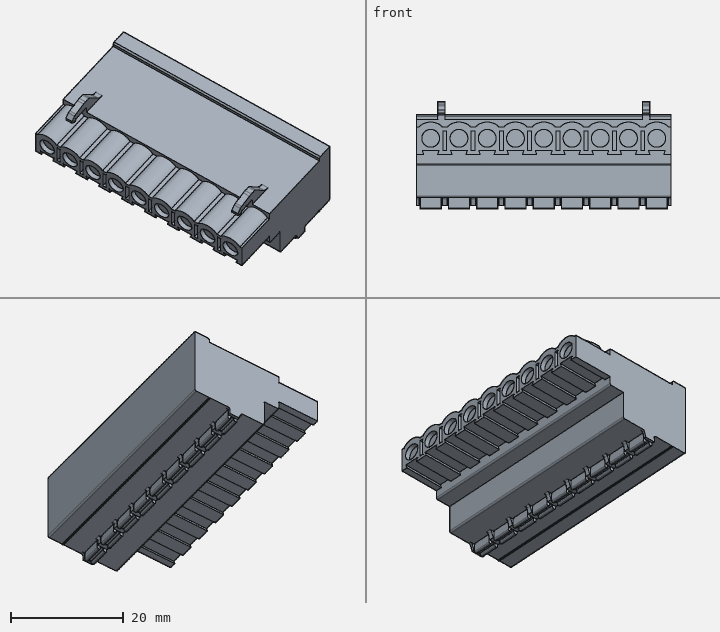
import cadquery as cq
import math


WIDTH = 45.1
POLES = 9
PITCH = 5.0

LENGTH = 26.6
HOUSING_FRONT_Y = 8.35
LOWER_FRONT_Y = 11.55
SHELF_Z = 5.77
HOUSING_TOP_Z = 13.85
REAR_RIDGE_Y = 23.4
REAR_RIDGE_Z = 14.75
RIDGE_CHAMFER = 0.3
SHELF_FILLET = 0.3
BOTTOM_FILLET = 0.3

RIB_WIDTH = 0.25
RIB_HEIGHT = 0.15

PLUG_BOTTOM_Z = 7.6
PLUG_FLAT_Z = 12.5
BARREL_RADIUS = 2.9
BARREL_AXIS_Z = 10.5
HOLE_DIAMETER = 3.15
HOLE_DEPTH = 1.0

SLOT_WIDTH = 0.68
SLOT_BOTTOM_Z = 8.35
SLOT_TOP_Z = 11.75

DOVETAIL_TOP_WIDTH = 2.98
DOVETAIL_MOUTH_WIDTH = 2.5
DOVETAIL_TOP_Z = 8.4

LATCH_X = 18.15
LATCH_WIDTH = 1.35
LATCH_TOP_Z = 17.0
LATCH_CREST_Y = 9.15
LATCH_CREST_FILLET = 0.4
LATCH_ROOT_FILLET = 1.8
LATCH_BROW_Y = 7.75
LATCH_BROW_FILLET = 2.7
LATCH_NOSE_Y = 4.9
LATCH_NOSE_Z = 16.35
LATCH_NOSE_FILLET = 0.8
LATCH_TIP_Y = 3.95
LATCH_TIP_TOP_Z = 15.5
LATCH_TIP_BOTTOM_Z = 15.0
LATCH_BEAK_FRONT_Y = 4.65
LATCH_BEAK_REAR_Y = 4.95
LATCH_BEAK_Z = 14.6
LATCH_ARM_FRONT_Y = 5.25
LATCH_ARM_FRONT_Z = 15.05
LATCH_ARM_ROOT_Z = 15.2
LATCH_ARM_FILLET = 0.3

TAB_WIDTH = 3.8
TAB_FRONT_Y = 17.0
TAB_REAR_Y = 19.05
TAB_DEPTH = 2.0
TAB_GROOVE_WIDTH = 0.7
TAB_LEG_FILLET = 0.23
FIN_WIDTH = 0.9
FIN_DEPTH = 1.4
FIN_ROOT_FRONT_Y = 16.5
FIN_ROOT_FILLET = 0.4
ROOT_OVERLAP = 0.45

POLE_X = [PITCH * (i - (POLES - 1) / 2) for i in range(POLES)]
BOUNDARY_X = [PITCH * (i - POLES / 2) for i in range(POLES + 1)]


def side_extrusion(points, center_x, width):
    """Extrude a closed (Y, Z) outline along X, centred on center_x."""
    outline = cq.Workplane("YZ", origin=(center_x, 0, 0)).polyline(points).close()
    return outline.extrude(width / 2, both=True)


def box_between(x0, x1, y0, y1, z0, z1):
    box = cq.Workplane("XY").box(x1 - x0, y1 - y0, z1 - z0, centered=False)
    return box.translate((x0, y0, z0))


def edges_along_x(body, y, z):
    """Select the edge parallel to X that passes through (Y, Z) = (y, z)."""
    reach = 0.005
    corner = cq.selectors.BoxSelector((-WIDTH, y - reach, z - reach), (WIDTH, y + reach, z + reach))
    return body.edges("|X").edges(corner)


def make_housing():
    section = [
        (LENGTH, 0),
        (LENGTH, REAR_RIDGE_Z),
        (REAR_RIDGE_Y, REAR_RIDGE_Z),
        (REAR_RIDGE_Y, HOUSING_TOP_Z),
        (HOUSING_FRONT_Y, HOUSING_TOP_Z),
        (HOUSING_FRONT_Y, SHELF_Z),
        (LOWER_FRONT_Y, SHELF_Z),
        (LOWER_FRONT_Y, 0),
    ]
    housing = side_extrusion(section, 0, WIDTH)
    housing = edges_along_x(housing, REAR_RIDGE_Y, REAR_RIDGE_Z).chamfer(RIDGE_CHAMFER)
    housing = edges_along_x(housing, HOUSING_FRONT_Y, SHELF_Z).fillet(SHELF_FILLET)
    for y in (LENGTH, LOWER_FRONT_Y):
        housing = edges_along_x(housing, y, 0).fillet(BOTTOM_FILLET)
    rib_front_y = REAR_RIDGE_Y - RIB_WIDTH / 2
    rib = box_between(
        -WIDTH / 2, WIDTH / 2, rib_front_y, rib_front_y + RIB_WIDTH, -RIB_HEIGHT, ROOT_OVERLAP
    )
    return housing.union(rib)


def make_plug():
    plug_end_y = HOUSING_FRONT_Y + ROOT_OVERLAP
    plug = box_between(-WIDTH / 2, WIDTH / 2, 0, plug_end_y, PLUG_BOTTOM_Z, PLUG_FLAT_Z)

    barrel_half_chord = math.sqrt(BARREL_RADIUS**2 - (PLUG_FLAT_Z - BARREL_AXIS_Z) ** 2)
    for x in POLE_X:
        crown = (
            cq.Workplane("XZ")
            .moveTo(x - barrel_half_chord, PLUG_FLAT_Z)
            .threePointArc(
                (x, BARREL_AXIS_Z + BARREL_RADIUS),
                (x + barrel_half_chord, PLUG_FLAT_Z),
            )
            .lineTo(x + barrel_half_chord, BARREL_AXIS_Z)
            .lineTo(x - barrel_half_chord, BARREL_AXIS_Z)
            .close()
            .extrude(-plug_end_y)
        )
        plug = plug.union(crown)

    for x in POLE_X:
        hole = (
            cq.Workplane("XZ")
            .center(x, BARREL_AXIS_Z)
            .circle(HOLE_DIAMETER / 2)
            .extrude(-HOLE_DEPTH)
        )
        dovetail = (
            cq.Workplane("XZ")
            .polyline([
                (x - DOVETAIL_MOUTH_WIDTH / 2, PLUG_BOTTOM_Z),
                (x - DOVETAIL_TOP_WIDTH / 2, DOVETAIL_TOP_Z),
                (x + DOVETAIL_TOP_WIDTH / 2, DOVETAIL_TOP_Z),
                (x + DOVETAIL_MOUTH_WIDTH / 2, PLUG_BOTTOM_Z),
            ])
            .close()
            .extrude(-plug_end_y)
        )
        plug = plug.cut(hole).cut(dovetail)

    for x in BOUNDARY_X[1:-1]:
        slot = box_between(
            x - SLOT_WIDTH / 2, x + SLOT_WIDTH / 2, 0, HOUSING_FRONT_Y, SLOT_BOTTOM_Z, SLOT_TOP_Z
        )
        plug = plug.cut(slot)
    return plug


def make_latch(center_x):
    embedded_z = HOUSING_TOP_Z - ROOT_OVERLAP
    slope_foot_y = LATCH_CREST_Y + LATCH_TOP_Z - HOUSING_TOP_Z
    base_rear_y = slope_foot_y + LATCH_ROOT_FILLET / 2
    section = [
        (HOUSING_FRONT_Y, embedded_z),
        (base_rear_y, embedded_z),
        (base_rear_y, HOUSING_TOP_Z),
        (slope_foot_y, HOUSING_TOP_Z),
        (LATCH_CREST_Y, LATCH_TOP_Z),
        (LATCH_BROW_Y, LATCH_TOP_Z),
        (LATCH_NOSE_Y, LATCH_NOSE_Z),
        (LATCH_TIP_Y, LATCH_TIP_TOP_Z),
        (LATCH_TIP_Y, LATCH_TIP_BOTTOM_Z),
        (LATCH_BEAK_FRONT_Y, LATCH_BEAK_Z),
        (LATCH_BEAK_REAR_Y, LATCH_BEAK_Z),
        (LATCH_ARM_FRONT_Y, LATCH_ARM_FRONT_Z),
        (HOUSING_FRONT_Y, LATCH_ARM_ROOT_Z),
    ]
    latch = side_extrusion(section, center_x, LATCH_WIDTH)
    rounded_corners = [
        (slope_foot_y, HOUSING_TOP_Z, LATCH_ROOT_FILLET),
        (LATCH_CREST_Y, LATCH_TOP_Z, LATCH_CREST_FILLET),
        (LATCH_BROW_Y, LATCH_TOP_Z, LATCH_BROW_FILLET),
        (LATCH_NOSE_Y, LATCH_NOSE_Z, LATCH_NOSE_FILLET),
        (HOUSING_FRONT_Y, LATCH_ARM_ROOT_Z, LATCH_ARM_FILLET),
    ]
    for y, z, radius in rounded_corners:
        latch = edges_along_x(latch, y, z).fillet(radius)
    return latch


def make_tab(center_x):
    groove_middle_y = (TAB_FRONT_Y + TAB_REAR_Y) / 2
    groove_front_y = groove_middle_y - TAB_GROOVE_WIDTH / 2
    groove_rear_y = groove_middle_y + TAB_GROOVE_WIDTH / 2
    section = [
        (TAB_FRONT_Y, ROOT_OVERLAP),
        (TAB_FRONT_Y, -TAB_DEPTH),
        (groove_front_y, -TAB_DEPTH),
        (groove_front_y, -FIN_DEPTH),
        (groove_rear_y, -FIN_DEPTH),
        (groove_rear_y, -TAB_DEPTH),
        (TAB_REAR_Y, -TAB_DEPTH),
        (TAB_REAR_Y, ROOT_OVERLAP),
    ]
    tab = side_extrusion(section, center_x, TAB_WIDTH)
    return tab.faces("<Z").edges("|X").fillet(TAB_LEG_FILLET)


def make_fin(center_x):
    section = [
        (FIN_ROOT_FRONT_Y - ROOT_OVERLAP, ROOT_OVERLAP),
        (FIN_ROOT_FRONT_Y - ROOT_OVERLAP, 0),
        (FIN_ROOT_FRONT_Y, 0),
        (TAB_FRONT_Y, -FIN_DEPTH),
        (TAB_REAR_Y, -FIN_DEPTH),
        (TAB_REAR_Y, 0),
        (TAB_REAR_Y + ROOT_OVERLAP, 0),
        (TAB_REAR_Y + ROOT_OVERLAP, ROOT_OVERLAP),
    ]
    fin = side_extrusion(section, center_x, FIN_WIDTH)
    for y in (FIN_ROOT_FRONT_Y, TAB_REAR_Y):
        fin = edges_along_x(fin, y, 0).fillet(FIN_ROOT_FILLET)
    return fin


result = make_housing().union(make_plug())

for latch_x in (-LATCH_X, LATCH_X):
    result = result.union(make_latch(latch_x))

for pole_x in POLE_X:
    result = result.union(make_tab(pole_x))

side_limits = box_between(-WIDTH / 2, WIDTH / 2, 0, LENGTH, -TAB_DEPTH, LATCH_TOP_Z)
for boundary_x in BOUNDARY_X:
    result = result.union(make_fin(boundary_x).intersect(side_limits))